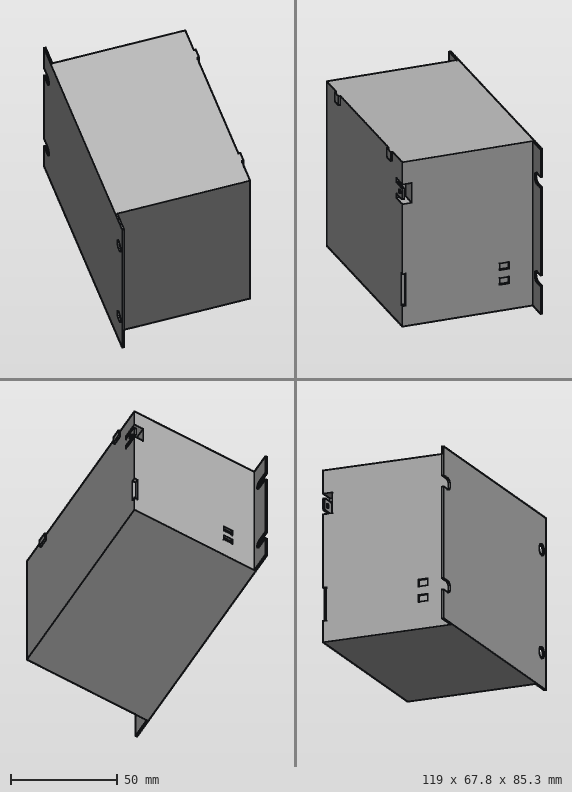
import cadquery as cq

panel_width = 119.0
total_depth = 67.8
height = 85.3
sheet = 1.0

box_width = 98.4
box_left = -box_width / 2
box_back = total_depth - sheet
top = height / 2

mount_diameter = 5.6
mount_edge_distance = 5.0
mount_spacing = 51.0
mount_x = panel_width / 2 - mount_edge_distance

tab_width = 5.0
tab_height = 4.8
tab_spacing = 67.6

pocket_height = 10.2
pocket_depth = 4.8
pocket_reach = 8.0
pocket_below_top = 16.7
pocket_z = top - pocket_below_top
lug_height = 6.0
lug_corner_radius = sheet
lug_hole_diameter = 2.0
lug_hole_edge_distance = 3.7

notch_height = 16.5
notch_depth = 1.8
notch_reach = 1.8
notch_above_bottom = 18.9
notch_z = notch_above_bottom - top

connector_width = 11.5
connector_height = 15.0
connector_thickness = 2.0
connector_y = 13.9
connector_above_bottom = 19.3
connector_z = connector_above_bottom - top
socket_width = 4.8
socket_height = 3.5
socket_depth = 1.2
socket_spacing = 7.6
socket_y = 15.2
sockets_above_bottom = 19.0
socket_middle_z = sockets_above_bottom - top


def block(x_range, y_range, z_center, z_size):
    """Box spanning the given X and Y ranges, centred at z_center in Z."""
    x_size = x_range[1] - x_range[0]
    y_size = y_range[1] - y_range[0]
    corner = (x_range[0], y_range[0], z_center - z_size / 2)
    return cq.Workplane("XY").box(x_size, y_size, z_size, centered=False).translate(corner)


def left_block(reach, y_center, y_size, z_center, z_size):
    """Box going inward from the left side of the housing."""
    y_range = (y_center - y_size / 2, y_center + y_size / 2)
    return block((box_left, box_left + reach), y_range, z_center, z_size)


def front_panel():
    panel = block((-panel_width / 2, panel_width / 2), (0, sheet), 0, height)
    for z in (-mount_spacing / 2, mount_spacing / 2):
        for x in (-mount_x, mount_x):
            hole = cq.Workplane("XZ").center(x, z).circle(mount_diameter / 2).extrude(-sheet)
            panel = panel.cut(hole)
        panel = panel.cut(block((-panel_width / 2, -mount_x), (0, sheet), z, mount_diameter))
    return panel


def top_tab(x):
    x_range = (x - tab_width / 2, x + tab_width / 2)
    return block(x_range, (box_back, total_depth), top - tab_height / 2, tab_height)


def lug():
    plate = block((box_left, box_left + pocket_reach), (box_back - sheet, box_back), pocket_z, lug_height)
    plate = plate.edges("|Y and <X").fillet(lug_corner_radius)
    hole = (
        cq.Workplane("XZ", origin=(0, box_back, 0))
        .center(box_left + lug_hole_edge_distance, pocket_z)
        .circle(lug_hole_diameter / 2)
        .extrude(sheet)
    )
    return plate.cut(hole)


result = front_panel().union(block((box_left, -box_left), (0, box_back), 0, height))

for tab_x in (-tab_spacing / 2, tab_spacing / 2):
    result = result.union(top_tab(tab_x))

result = result.cut(
    left_block(pocket_reach, box_back - pocket_depth / 2, pocket_depth, pocket_z, pocket_height)
)
result = result.union(lug())
result = result.cut(
    left_block(notch_reach, box_back - notch_depth / 2, notch_depth, notch_z, notch_height)
)

connector = left_block(connector_thickness, connector_y, connector_width, connector_z, connector_height)
result = result.cut(connector).union(connector, clean=False)
for socket_z in (socket_middle_z - socket_spacing / 2, socket_middle_z + socket_spacing / 2):
    socket = left_block(socket_depth, socket_y, socket_width, socket_z, socket_height)
    result = result.cut(socket, clean=False)